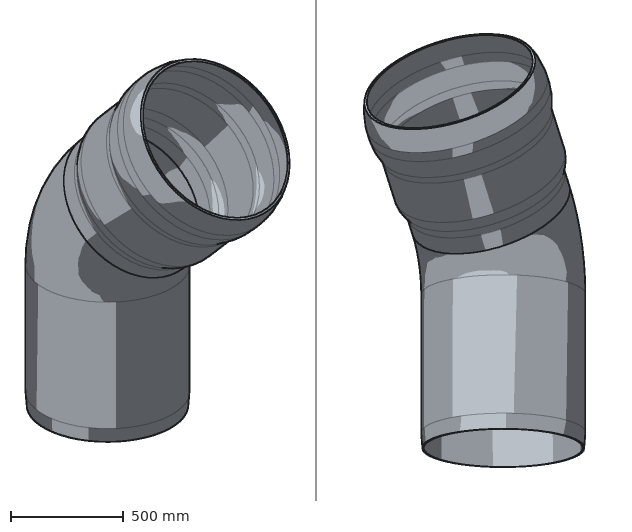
import cadquery as cq
import math

pipe_diameter = 730.0
socket_diameter = 788.0
bead_diameter = 839.0
wall = 11.8

straight_length = 703.0
taper_length = 70.0
taper_depth = 5.0
bend_radius = 500.0
bend_angle = 45

flare_start = 85.0
flare_end = 185.0
flare_middle = 127.0
bead_rise_start = 391.0
bead_rise_middle = 425.0
bead_start = 522.0
bead_end = 569.0
socket_length = 674.0

pipe_radius = pipe_diameter / 2
socket_radius = socket_diameter / 2
bead_radius = bead_diameter / 2
angle = math.radians(bend_angle)
bend_end_x = bend_radius * (1 - math.cos(angle))
bend_end_z = straight_length + bend_radius * math.sin(angle)


def spigot():
    """Solid round spigot with a tapered end."""
    return (
        cq.Workplane("XZ")
        .lineTo(pipe_radius - taper_depth, 0)
        .lineTo(pipe_radius, taper_length)
        .lineTo(pipe_radius, straight_length)
        .lineTo(0, straight_length)
        .close()
        .revolve(360, (0, 0, 0), (0, 1, 0))
    )


def bend(inset):
    """Solid torus segment that turns the pipe from +Z towards +X."""
    return (
        cq.Workplane("XY", origin=(0, 0, straight_length))
        .circle(pipe_radius - inset)
        .revolve(bend_angle, (bend_radius, 0, 0), (bend_radius, 1, 0))
    )


def make_elbow():
    """Tapered spigot and bend with one constant bore through both."""
    outside = spigot().union(bend(0))
    straight_bore = cq.Workplane("XY").circle(pipe_radius - wall).extrude(straight_length)
    return outside.cut(straight_bore.union(bend(wall)))


def smooth_step(profile, start, middle, end, start_radius, end_radius, inset):
    """Add two tangent arcs that step the radius up; both end parallel to the axis.

    The inset moves their meeting point along the axis, so inner and outer arcs stay concentric.
    """
    chord_slope = (end_radius - start_radius) / (end - start)
    steepest_angle = 2 * math.atan(chord_slope)
    meeting = middle + inset * math.sin(steepest_angle)
    meeting_radius = start_radius + chord_slope * (meeting - start)
    return (
        profile.lineTo(start_radius, start)
        .tangentArcPoint((meeting_radius, meeting), relative=False)
        .tangentArcPoint((end_radius, end), relative=False)
    )


def socket_shape(inset):
    """Solid of revolution about Z, drawn in from the outer skin by inset."""
    neck = pipe_radius - inset
    sleeve = socket_radius - inset
    bead = bead_radius - inset
    profile = cq.Workplane("XZ").lineTo(neck, 0)
    profile = smooth_step(profile, flare_start, flare_middle, flare_end, neck, sleeve, inset)
    profile = smooth_step(
        profile, bead_rise_start, bead_rise_middle, bead_start, sleeve, bead, inset
    )
    return (
        profile.lineTo(bead, bead_end)
        .tangentArcPoint((sleeve, socket_length), relative=False)
        .lineTo(0, socket_length)
        .close()
        .revolve(360, (0, 0, 0), (0, 1, 0))
    )


def make_socket():
    """Thin-walled socket seated on the end face of the bend."""
    upright = socket_shape(0).cut(socket_shape(wall))
    tilted = upright.rotate((0, 0, 0), (0, 1, 0), bend_angle)
    return tilted.translate((bend_end_x, 0, bend_end_z))


elbow = make_elbow()
socket = make_socket()

result = cq.Compound.makeCompound([elbow.solids().val(), socket.solids().val()])